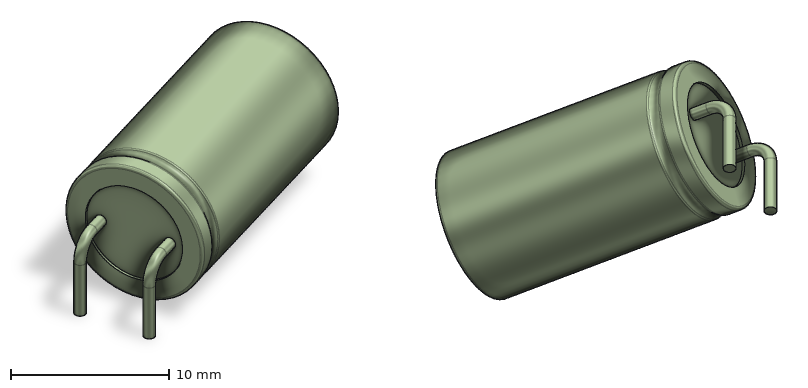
import cadquery as cq
import math

overall_length = 20.65
can_diameter = 10.0
can_radius = can_diameter / 2
rim_round = 0.2

groove_center = 1.63
groove_half_width = 0.5
groove_depth = 0.2
lip_share = 0.25

recess_radius = 3.51
recess_depth = 0.2

lead_diameter = 0.8
lead_spacing = can_diameter / 2
lead_stub = 1.0
bend_radius = 1.5
lead_bottom = -5.5

lead_reach = lead_stub + bend_radius + lead_diameter / 2
can_length = overall_length - lead_reach


def make_can():
    """Solid cylinder with both rims rounded."""
    can = cq.Workplane("XZ").circle(can_radius).extrude(-can_length)
    return can.faces("<Y or >Y").edges().fillet(rim_round)


def make_groove():
    """Ring cutter whose concave floor runs smoothly into two convex lips."""
    slope = 2 * math.atan(groove_depth / groove_half_width)
    arc_radii_sum = groove_half_width / math.sin(slope)
    lip_radius = lip_share * arc_radii_sum

    def lip_point(angle, side):
        radial = can_radius - lip_radius * (1 - math.cos(angle))
        offset = groove_half_width - lip_radius * math.sin(angle)
        return radial, groove_center + side * offset

    clear_radius = can_radius + groove_depth
    floor_point = (can_radius - groove_depth, groove_center)
    profile = (
        cq.Workplane("XY")
        .moveTo(clear_radius, groove_center - groove_half_width)
        .lineTo(*lip_point(0, -1))
        .threePointArc(lip_point(slope / 2, -1), lip_point(slope, -1))
        .threePointArc(floor_point, lip_point(slope, 1))
        .threePointArc(lip_point(slope / 2, 1), lip_point(0, 1))
        .lineTo(clear_radius, groove_center + groove_half_width)
        .close()
    )
    return profile.revolve(360, (0, 0, 0), (0, 1, 0))


def make_recess():
    return cq.Workplane("XZ").circle(recess_radius).extrude(-recess_depth)


def make_lead(x):
    """Round wire leaving the recess floor along -Y and bending down to -Z."""
    bend_mid = bend_radius * math.sin(math.pi / 4)
    path = (
        cq.Workplane("YZ", origin=(x, 0, 0))
        .moveTo(recess_depth, 0)
        .lineTo(-lead_stub, 0)
        .threePointArc(
            (-lead_stub - bend_mid, bend_mid - bend_radius),
            (-lead_stub - bend_radius, -bend_radius),
        )
        .lineTo(-lead_stub - bend_radius, lead_bottom)
    )
    section = cq.Workplane("XZ", origin=(x, recess_depth, 0)).circle(lead_diameter / 2)
    return section.sweep(path)


result = make_can().cut(make_groove()).cut(make_recess())
for side in (-1, 1):
    result = result.union(make_lead(side * lead_spacing / 2))